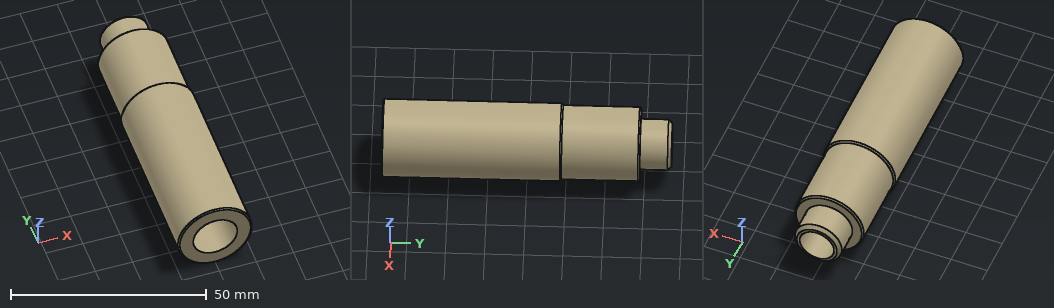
import cadquery as cq
import math

total_length = 74.0
body_diameter = 20.0
shoulder_diameter = 19.0
tip_diameter = 13.0
shoulder_length = 20.0
tip_length = 8.0
body_length = total_length - shoulder_length - tip_length

wide_bore_diameter = 11.85
narrow_bore_diameter = 9.5
wide_bore_depth = body_length
step_half_angle = 59.0

front_chamfer_length = 0.3
front_chamfer_width = 0.45
edge_chamfer = 0.45
tip_chamfer = 0.95

front_y = -total_length / 2
back_y = total_length / 2
body_end_y = front_y + body_length
shoulder_end_y = body_end_y + shoulder_length


def outer_profile():
    """Half section of the outside, as (radius, y) points."""
    body_radius = body_diameter / 2
    shoulder_radius = shoulder_diameter / 2
    tip_radius = tip_diameter / 2
    return [
        (0, front_y),
        (body_radius - front_chamfer_width, front_y),
        (body_radius, front_y + front_chamfer_length),
        (body_radius, body_end_y - edge_chamfer),
        (body_radius - edge_chamfer, body_end_y),
        (shoulder_radius, body_end_y),
        (shoulder_radius, shoulder_end_y - edge_chamfer),
        (shoulder_radius - edge_chamfer, shoulder_end_y),
        (tip_radius, shoulder_end_y),
        (tip_radius, back_y - tip_chamfer),
        (tip_radius - tip_chamfer, back_y),
        (0, back_y),
    ]


def bore_profile():
    """Half section of the through bore, as (radius, y) points."""
    wide_radius = wide_bore_diameter / 2
    narrow_radius = narrow_bore_diameter / 2
    step_y = front_y + wide_bore_depth
    step_length = (wide_radius - narrow_radius) / math.tan(math.radians(step_half_angle))
    return [
        (0, front_y),
        (wide_radius, front_y),
        (wide_radius, step_y),
        (narrow_radius, step_y + step_length),
        (narrow_radius, back_y),
        (0, back_y),
    ]


def revolve_about_y(profile):
    return cq.Workplane("XY").polyline(profile).close().revolve(360, (0, 0), (0, 1))


result = revolve_about_y(outer_profile()).cut(revolve_about_y(bore_profile()))